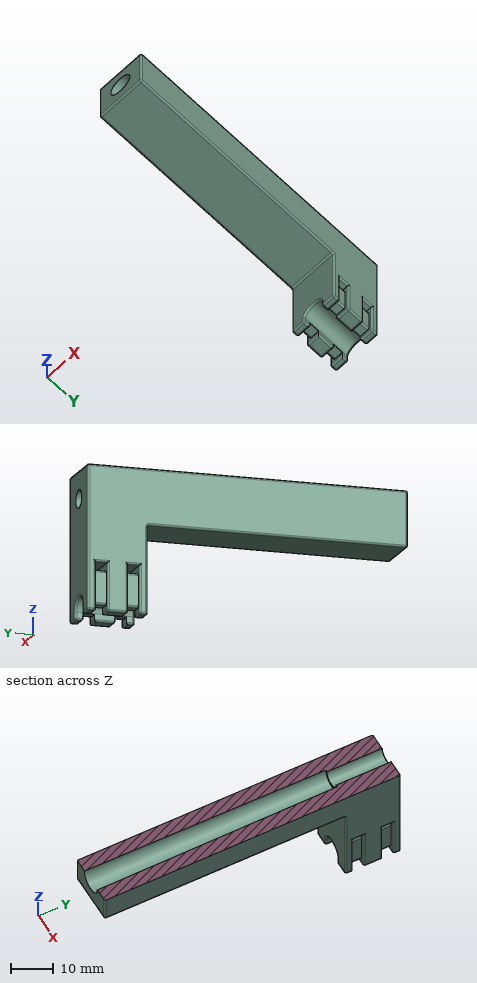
import cadquery as cq

width = 14.0
length = 80.0
height = 36.0
bar_height = width
edge_radius = 0.5

groove_width = 3.0
groove_spacing = 8.0
groove_margin = 2.0
groove_side_depth = 1.1
groove_bottom_depth = 1.8
groove_top_z = 12.0
core_top_z = 10.2
leg_depth = groove_spacing + groove_width + 2 * groove_margin

back_y = length / 2
front_y = -length / 2
leg_front_y = back_y - leg_depth
leg_center_y = back_y - leg_depth / 2
bar_bottom_z = height - bar_height

bore_z = height - bar_height / 2
bore_mouth_diameter = 6.4
bore_end_diameter = 5.6
through_diameter = 4.5
bore_depth = length - leg_depth

notch_width = 6.0
notch_radius = notch_width / 2
notch_center_z = 2.0


def l_shaped_body():
    return (
        cq.Workplane("YZ")
        .moveTo(front_y, height)
        .lineTo(back_y, height)
        .lineTo(back_y, 0)
        .lineTo(leg_front_y, 0)
        .lineTo(leg_front_y, bar_bottom_z)
        .lineTo(front_y, bar_bottom_z)
        .close()
        .extrude(width / 2, both=True)
    )


def strap_groove(center_y):
    """Ring-shaped cutter: a slot across the leg with a rounded core left standing."""
    slot = (
        cq.Workplane("XY")
        .box(width, groove_width, groove_top_z, centered=(True, True, False))
    )
    core = (
        cq.Workplane("XY")
        .workplane(offset=groove_bottom_depth)
        .box(
            width - 2 * groove_side_depth,
            groove_width,
            core_top_z - groove_bottom_depth,
            centered=(True, True, False),
        )
        .edges("|Y")
        .fillet(edge_radius)
    )
    return slot.cut(core).translate((0, center_y, 0))


def foot_notch():
    return (
        cq.Workplane("XZ", origin=(0, back_y, 0))
        .moveTo(-notch_radius, 0)
        .lineTo(-notch_radius, notch_center_z)
        .threePointArc((0, notch_center_z + notch_radius), (notch_radius, notch_center_z))
        .lineTo(notch_radius, 0)
        .close()
        .extrude(leg_depth)
    )


def stepped_bore():
    """Revolved cutter, drawn as radius against distance along the bar."""
    return (
        cq.Workplane("XY", origin=(0, front_y, bore_z))
        .lineTo(bore_mouth_diameter / 2, 0)
        .lineTo(bore_end_diameter / 2, bore_depth)
        .lineTo(through_diameter / 2, bore_depth)
        .lineTo(through_diameter / 2, length)
        .lineTo(0, length)
        .close()
        .revolve(360, (0, 0, 0), (0, 1, 0))
    )


body = l_shaped_body()
for side in (-1, 1):
    body = body.cut(strap_groove(leg_center_y + side * groove_spacing / 2))
body = body.cut(foot_notch())

leg_front = cq.selectors.NearestToPointSelector((0, leg_front_y, bar_bottom_z / 2))
outer_faces = body.faces("<X or >X or <Y or >Y or <Z or >Z").add(body.faces(leg_front))
rounded_body = outer_faces.edges().fillet(edge_radius)

result = rounded_body.cut(stepped_bore())